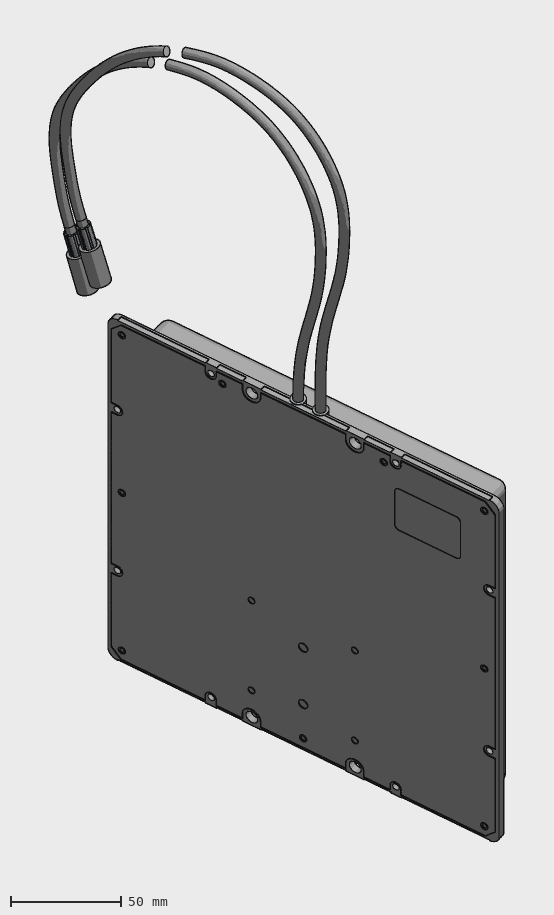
import cadquery as cq
import math


flange_size = 216.0
flange_corner_radius = 5.5
flange_top = flange_size / 2
flange_back = 4.3
box_size = 190.0
box_back = 27.7
box_edge_radius = 5.0
box_top = box_size / 2

rebate_depth = 0.4
rebate_lip = 1.1

plate_thickness = 0.5
plate_margin = 2.0
plate_size = flange_size - 2 * plate_margin
plate_corner_chamfer = 5.5

edge_hole_offset = 102.7
mount_hole_x = 28.5
mount_hole_diameter = 6.5
mount_notch_width = 10.0
clip_hole_offset = 51.0
clip_hole_diameter = 3.6
clip_hole_depth = 3.0
clip_notch_width = 6.0

screw_hole_offset = 100.0
top_screw_x = 44.5
screw_hole_diameter = 2.4
screw_head_diameter = 3.9
screw_head_depth = 0.3

bracket_pitch = 57.0
bracket_centre_z = -57.0
bracket_hole_diameter = 3.6
vent_hole_diameter = 5.0
vent_hole_heights = (-42.5, -78.3)

label_width = 36.3
label_height = 26.2
label_corner_radius = 2.5
label_depth = 0.2
label_centre = (68.8, 74.6)

cable_diameter = 5.0
cable_x = 6.2
cable_y = 5.2
cable_entry_diameter = 7.6
loop_rise = 18.6
loop_start_heights = (flange_top, flange_top + loop_rise)
loop_swings = (0.0, 4.08)

lead_loop = [
    (2.8, 36.0), (10.5, 73.2), (12.4, 94.9), (10.2, 122.7),
    (1.2, 144.4), (-18.9, 165.3), (-48.3, 174.76), (-71.6, 172.0),
]
tail_loop = [
    (-81.2, 168.0), (-111.9, 144.1), (-124.3, 125.8), (-132.0, 108.8),
    (-134.47, 88.7), (-132.2, 67.0), (-126.4, 39.9),
]
lead_end_direction = cq.Vector(-0.97, 0, -0.24)
tail_start_direction = cq.Vector(-0.92, 0, -0.4)
plug_tilt = math.radians(16.4)

collar_length = 4.0
sleeve_length = 11.9
sleeve_diameter = 7.2
barrel_length = 20.7
barrel_diameter = 10.3
flute_count = 6
flute_width = 1.0
flute_depth = 0.6


def front_plane(y):
    """Workplane at depth y, with local axes along +X and +Z; extrusions run forwards, along -Y."""
    return cq.Workplane(cq.Plane(origin=(0, y, 0), xDir=(1, 0, 0), normal=(0, -1, 0)))


def rods(points, diameter, y_start, y_end):
    """Cylinders along Y, one at each (x, z) point."""
    return front_plane(y_end).pushPoints(points).circle(diameter / 2).extrude(y_end - y_start)


def mirrored_points(x, z):
    """The four (x, z) points mirrored about both axes."""
    return [(sx * x, sz * z) for sx in (-1, 1) for sz in (-1, 1)]


mount_points = mirrored_points(mount_hole_x, edge_hole_offset)
clip_points_on_ends = mirrored_points(clip_hole_offset, edge_hole_offset)
clip_points_on_sides = mirrored_points(edge_hole_offset, clip_hole_offset)


def make_rebates():
    corner_x = flange_size / 2 - flange_corner_radius
    clip_half = clip_notch_width / 2
    mount_half = mount_notch_width / 2
    stretches = [
        (-corner_x, -clip_hole_offset - clip_half),
        (-clip_hole_offset + clip_half, -mount_hole_x - mount_half),
        (-mount_hole_x + mount_half, mount_hole_x - mount_half),
        (mount_hole_x + mount_half, clip_hole_offset - clip_half),
        (clip_hole_offset + clip_half, corner_x),
    ]
    rebate_back = flange_back - rebate_lip
    rebates = cq.Workplane()
    for start, end in stretches:
        for z in (-flange_top, flange_top):
            outline = front_plane(rebate_back).center((start + end) / 2, z)
            outline = outline.rect(end - start, 2 * rebate_depth)
            rebates = rebates.add(outline.extrude(rebate_back))
    return rebates.combine()


def make_housing():
    flange = (
        front_plane(flange_back)
        .rect(flange_size, flange_size)
        .extrude(flange_back - plate_thickness)
        .edges("|Y")
        .fillet(flange_corner_radius)
    )
    box = (
        front_plane(box_back)
        .rect(box_size, box_size)
        .extrude(box_back - flange_back)
        .edges("|Y or >Y")
        .fillet(box_edge_radius)
    )
    body = flange.union(box)
    body = body.cut(make_rebates())
    cable_points = [(-cable_x, cable_y), (cable_x, cable_y)]
    entries = cq.Workplane("XY", origin=(0, 0, box_top)).pushPoints(cable_points)
    entry_height = flange_top - box_top
    body = body.union(entries.circle(cable_entry_diameter / 2).extrude(entry_height))
    body = body.cut(entries.circle(cable_diameter / 2).extrude(entry_height))
    body = body.cut(rods(mount_points, mount_hole_diameter, 0, flange_back))
    clip_points = clip_points_on_ends + clip_points_on_sides
    return body.cut(rods(clip_points, clip_hole_diameter, 0, plate_thickness + clip_hole_depth))


def notches(points, width, along_x):
    """Round-ended notches from each point out through the nearest plate edge."""
    cutter = rods(points, width, 0, plate_thickness)
    length = plate_size / 2 - edge_hole_offset + plate_margin
    for x, z in points:
        plane = front_plane(plate_thickness)
        if along_x:
            slot = plane.center(x + math.copysign(length / 2, x), z).rect(length, width)
        else:
            slot = plane.center(x, z + math.copysign(length / 2, z)).rect(width, length)
        cutter = cutter.union(slot.extrude(plate_thickness))
    return cutter


def make_plate():
    plate = (
        front_plane(plate_thickness)
        .rect(plate_size, plate_size)
        .extrude(plate_thickness)
        .edges("|Y")
        .chamfer(plate_corner_chamfer)
    )
    plate = plate.cut(notches(mount_points, mount_notch_width, False))
    plate = plate.cut(notches(clip_points_on_ends, clip_notch_width, False))
    plate = plate.cut(notches(clip_points_on_sides, clip_notch_width, True))
    screw_points = mirrored_points(screw_hole_offset, screw_hole_offset) + [
        (-screw_hole_offset, 0),
        (screw_hole_offset, 0),
        (0, -screw_hole_offset),
        (-top_screw_x, screw_hole_offset),
        (top_screw_x, screw_hole_offset),
    ]
    plate = plate.cut(rods(screw_points, screw_hole_diameter, 0, plate_thickness))
    plate = plate.cut(rods(screw_points, screw_head_diameter, 0, screw_head_depth))
    bracket_corners = mirrored_points(bracket_pitch / 2, bracket_pitch / 2)
    bracket_points = [(x, z + bracket_centre_z) for x, z in bracket_corners]
    plate = plate.cut(rods(bracket_points, bracket_hole_diameter, 0, plate_thickness))
    vent_points = [(0, z) for z in vent_hole_heights]
    plate = plate.cut(rods(vent_points, vent_hole_diameter, 0, plate_thickness))
    label = (
        front_plane(label_depth)
        .center(*label_centre)
        .rect(label_width, label_height)
        .extrude(label_depth)
        .edges("|Y")
        .fillet(label_corner_radius)
    )
    return plate.cut(label)


def place(body, x, start_height, swing):
    """Swing a loop body about its cable's straight stretch and move it to that cable."""
    return body.rotate((0, 0, 0), (0, 0, 1), swing).translate((x, cable_y, start_height))


def make_lead(straight_length):
    """Cable from the housing entry up and over the loop, its loop starting at the local origin."""
    points = [cq.Vector(0, 0, 0)] + [cq.Vector(x, 0, z) for x, z in lead_loop]
    straight = cq.Edge.makeLine(cq.Vector(0, 0, -straight_length), points[0])
    loop = cq.Edge.makeSpline(points, tangents=[cq.Vector(0, 0, 1), lead_end_direction])
    path = cq.Workplane(cq.Wire.assembleEdges([straight, loop]))
    section = cq.Workplane("XY", origin=(0, 0, -straight_length)).circle(cable_diameter / 2)
    return section.sweep(path)


plug_axis = cq.Vector(math.sin(plug_tilt), 0, -math.cos(plug_tilt))
tail_end = cq.Vector(tail_loop[-1][0], 0, tail_loop[-1][1])


def make_tail():
    points = [cq.Vector(x, 0, z) for x, z in tail_loop]
    path = cq.Edge.makeSpline(points, tangents=[tail_start_direction, plug_axis])
    section = cq.Workplane(cq.Plane(points[0], (0, 1, 0), tail_start_direction)).circle(cable_diameter / 2)
    return section.sweep(cq.Workplane(cq.Wire.assembleEdges([path])))


def plug_plane(distance):
    """Plane across the plug axis, a distance on from the end of the tail."""
    return cq.Workplane(cq.Plane(tail_end + plug_axis * distance, (0, 1, 0), plug_axis))


def make_sleeve():
    collar = plug_plane(0).circle(cable_diameter / 2).extrude(collar_length)
    grip = plug_plane(collar_length).circle(sleeve_diameter / 2).extrude(sleeve_length)
    flutes = (
        plug_plane(collar_length)
        .polarArray(sleeve_diameter / 2, 0, 360, flute_count)
        .rect(2 * flute_depth, flute_width)
        .extrude(sleeve_length)
    )
    return collar.union(grip.cut(flutes))


def make_barrel():
    return plug_plane(collar_length + sleeve_length).circle(barrel_diameter / 2).extrude(barrel_length)


bodies = [make_housing(), make_plate()]
for x, start_height, swing in zip((-cable_x, cable_x), loop_start_heights, loop_swings):
    for body in (make_lead(start_height - box_top), make_tail(), make_sleeve(), make_barrel()):
        bodies.append(place(body, x, start_height, swing))

result = cq.Compound.makeCompound([body.val() for body in bodies])